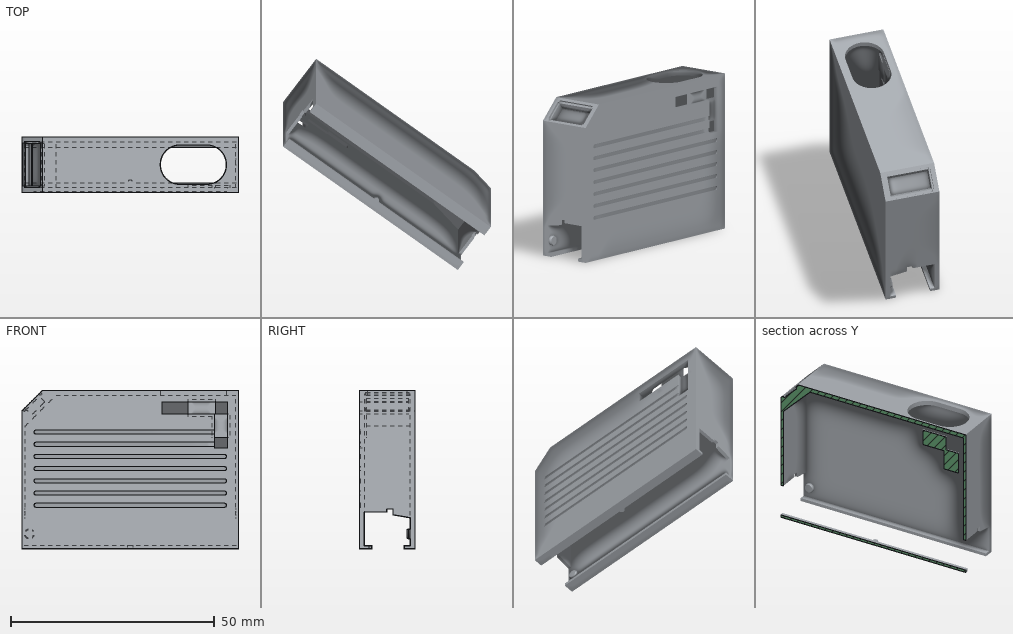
import cadquery as cq
import math

LENGTH = 53.34
WIDTH = 13.7
HEIGHT = 39.0
CORNER_CHAMFER = 5.08
SIDE_WALL = 1.25
END_WALL = 0.8
TOP_WALL = 1.2
SLOPE_WALL = 3.2
LIP_THICKNESS = 0.8
FRONT_Y = -WIDTH / 2
INNER_Y = WIDTH / 2 - SIDE_WALL

BACK_LIP_EDGE_Y = 4.18
FRONT_LIP_EDGE_Y = -4.48
LIP_BUMP_RADIUS = 0.7

END_OPENING_TOP = 9.07
NOTCH_TOP = 9.8
NOTCH_FRONT_Y = -0.1
NOTCH_BACK_Y = 1.4
RAMP_HIGH_Z = 8.36
RAMP_LOW_Z = 7.65

PIN_X = 1.85
PIN_Z = 3.7
PIN_RADIUS = 1.2
PIN_TIP_RADIUS = 1.05
PIN_STRAIGHT = 0.4
PIN_LENGTH = 0.75

OVAL_LENGTH = 16.2
OVAL_WIDTH = 9.75
OVAL_X = LENGTH - 11.15

GROOVE_COUNT = 7
GROOVE_PITCH = 3.0
GROOVE_WIDTH = 1.0
GROOVE_DEPTH = 0.3
GROOVE_END_MARGIN = 3.0
LOWEST_GROOVE_Z = 10.75

WINDOW_RIGHT_X = LENGTH - 2.7
WINDOW_TOP_Z = HEIGHT - 2.85
WINDOW_LENGTH = 16.2
WINDOW_DROP = 11.35
WINDOW_ARM_HEIGHT = 3.0
WINDOW_LEG_WIDTH = 3.2

ARM_PLATE_LEFT_X = LENGTH - 12.5
ARM_PLATE_RIGHT_X = LENGTH - 5.7
LEG_PLATE_HEIGHT = 5.7
PLATE_THICKNESS = 0.5
PLATE_OVERLAP = 0.6

RECESS_OFFSET = 0.2
RECESS_WIDTH = 10.5
RECESS_MOUTH_SPAN = 5.06
RECESS_WAIST_SPAN = 4.44
RECESS_FLOOR_SPAN = 4.1
RECESS_WAIST_DEPTH = 1.3
RECESS_DEPTH = 2.4
RECESS_FLOOR_BEVEL = (RECESS_WAIST_SPAN - RECESS_FLOOR_SPAN) / 2
RIM_DEPTH = 0.5
RIM_TALL_WIDTH = 10.6
RIM_TALL_SPAN = 6.16
RIM_WIDE_WIDTH = 11.3
RIM_WIDE_SPAN = 5.0


def box(x_min, x_max, y_min, y_max, z_min, z_max):
    """Box given by its limits on each axis."""
    size = (x_max - x_min, y_max - y_min, z_max - z_min)
    return cq.Workplane("XY").box(*size, centered=False).translate((x_min, y_min, z_min))


def outer_body():
    block = box(0, LENGTH, FRONT_Y, -FRONT_Y, 0, HEIGHT)
    return block.edges("<X and >Z").chamfer(CORNER_CHAMFER)


def cavity():
    """Inner space above the lips; its sloped corner runs parallel to the outer one."""
    ceiling = HEIGHT - TOP_WALL
    slope_rise = HEIGHT - CORNER_CHAMFER - SLOPE_WALL * math.sqrt(2)
    profile = [
        (END_WALL, LIP_THICKNESS),
        (LENGTH - END_WALL, LIP_THICKNESS),
        (LENGTH - END_WALL, ceiling),
        (ceiling - slope_rise, ceiling),
        (END_WALL, slope_rise + END_WALL),
    ]
    return cq.Workplane("XZ").polyline(profile).close().extrude(INNER_Y, both=True)


def end_openings():
    """Stepped opening through both end walls."""
    profile = [
        (-INNER_Y, LIP_THICKNESS),
        (INNER_Y, LIP_THICKNESS),
        (INNER_Y, RAMP_LOW_Z),
        (NOTCH_BACK_Y, RAMP_HIGH_Z),
        (NOTCH_BACK_Y, NOTCH_TOP),
        (NOTCH_FRONT_Y, NOTCH_TOP),
        (NOTCH_FRONT_Y, END_OPENING_TOP),
        (-INNER_Y, END_OPENING_TOP),
    ]
    return cq.Workplane("YZ").polyline(profile).close().extrude(LENGTH)


def bottom_slot():
    return box(0, LENGTH, FRONT_LIP_EDGE_Y, BACK_LIP_EDGE_Y, 0, LIP_THICKNESS)


def lip_bump():
    """Rounded bump at mid-length on the edge of the front lip."""
    bump = cq.Workplane("XY").center(LENGTH / 2, FRONT_LIP_EDGE_Y)
    return bump.circle(LIP_BUMP_RADIUS).extrude(LIP_THICKNESS)


def locating_pin():
    """Pin with a tapered tip, pointing from the back wall into the cavity."""
    half_profile = [
        (0, 0),
        (PIN_RADIUS, 0),
        (PIN_RADIUS, PIN_STRAIGHT),
        (PIN_TIP_RADIUS, PIN_LENGTH),
        (0, PIN_LENGTH),
    ]
    base = cq.Plane(origin=(PIN_X, INNER_Y, PIN_Z), xDir=(1, 0, 0), normal=(0, 0, -1))
    return cq.Workplane(base).polyline(half_profile).close().revolve(360, (0, 0), (0, 1))


def oval_hole():
    top = cq.Workplane("XY", origin=(OVAL_X, 0, HEIGHT))
    return top.slot2D(OVAL_LENGTH, OVAL_WIDTH).extrude(-TOP_WALL)


def grip_grooves():
    centers = [(LENGTH / 2, LOWEST_GROOVE_Z + i * GROOVE_PITCH) for i in range(GROOVE_COUNT)]
    front = cq.Workplane("XZ", origin=(0, FRONT_Y, 0)).pushPoints(centers)
    return front.slot2D(LENGTH - 2 * GROOVE_END_MARGIN, GROOVE_WIDTH).extrude(-GROOVE_DEPTH)


def window():
    """L-shaped opening through the front wall: an arm along X and a leg hanging from its end."""
    wall_back = FRONT_Y + SIDE_WALL
    arm_bottom = WINDOW_TOP_Z - WINDOW_ARM_HEIGHT
    arm_left = WINDOW_RIGHT_X - WINDOW_LENGTH
    leg_left = WINDOW_RIGHT_X - WINDOW_LEG_WIDTH
    leg_bottom = WINDOW_TOP_Z - WINDOW_DROP
    arm = box(arm_left, WINDOW_RIGHT_X, FRONT_Y, wall_back, arm_bottom, WINDOW_TOP_Z)
    leg = box(leg_left, WINDOW_RIGHT_X, FRONT_Y, wall_back, leg_bottom, arm_bottom)
    return arm.union(leg)


def backing_plates():
    """Plates on the inner face of the front wall that close the middle of the arm and of the leg."""
    wall_back = FRONT_Y + SIDE_WALL
    plate_back = wall_back + PLATE_THICKNESS
    arm_bottom = WINDOW_TOP_Z - WINDOW_ARM_HEIGHT
    leg_left = WINDOW_RIGHT_X - WINDOW_LEG_WIDTH
    arm_plate = box(
        ARM_PLATE_LEFT_X,
        ARM_PLATE_RIGHT_X,
        wall_back,
        plate_back,
        arm_bottom - PLATE_OVERLAP,
        WINDOW_TOP_Z + PLATE_OVERLAP,
    )
    leg_plate = box(
        leg_left - PLATE_OVERLAP,
        WINDOW_RIGHT_X + PLATE_OVERLAP,
        wall_back,
        plate_back,
        arm_bottom - LEG_PLATE_HEIGHT,
        arm_bottom,
    )
    return arm_plate.union(leg_plate)


def display_recess():
    """Cross-shaped rim and a tapered pocket, sunk square into the sloped corner."""
    drop = RECESS_OFFSET / math.sqrt(2)
    center = (CORNER_CHAMFER / 2 - drop, 0, HEIGHT - CORNER_CHAMFER / 2 - drop)
    slope = cq.Plane(origin=center, xDir=(0, -1, 0), normal=(-1, 0, 1))
    rim_tall = cq.Workplane(slope).rect(RIM_TALL_WIDTH, RIM_TALL_SPAN).extrude(-RIM_DEPTH)
    rim_wide = cq.Workplane(slope).rect(RIM_WIDE_WIDTH, RIM_WIDE_SPAN).extrude(-RIM_DEPTH)

    half_profile = [
        (RECESS_MOUTH_SPAN / 2, 0),
        (RECESS_MOUTH_SPAN / 2, RIM_DEPTH),
        (RECESS_WAIST_SPAN / 2, RECESS_WAIST_DEPTH),
        (RECESS_WAIST_SPAN / 2, RECESS_DEPTH - RECESS_FLOOR_BEVEL),
        (RECESS_FLOOR_SPAN / 2, RECESS_DEPTH),
    ]
    mirrored = [(-distance, depth) for distance, depth in reversed(half_profile)]
    section = cq.Plane(origin=center, xDir=(1, 0, 1), normal=(0, 1, 0))
    pocket = cq.Workplane(section).polyline(half_profile + mirrored).close()
    return rim_tall.union(rim_wide).union(pocket.extrude(RECESS_WIDTH / 2, both=True))


result = outer_body().cut(cavity()).cut(end_openings()).cut(bottom_slot())
result = result.union(lip_bump()).union(locating_pin())
result = result.cut(oval_hole()).cut(grip_grooves()).cut(window())
result = result.union(backing_plates()).cut(display_recess())